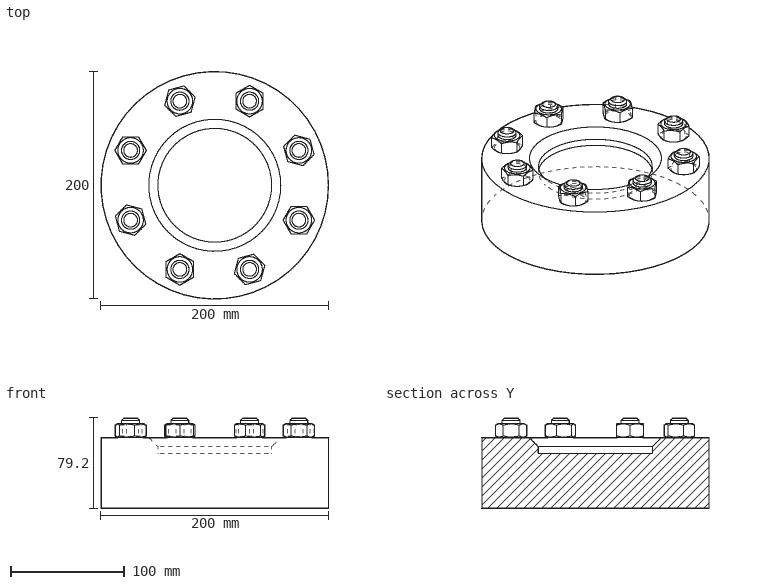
import cadquery as cq
import math

body_diameter = 200.0
total_height = 79.2
stud_projection = 17.0
body_height = total_height - stud_projection

recess_diameter = 100.0
recess_cone_depth = 8.0
recess_wall_depth = 6.0

bolt_count = 8
bolt_circle_radius = 80.0
bolt_spacing = 360 / bolt_count
first_bolt_angle = bolt_spacing / 2
nut_corner_offset = 22.5

stud_diameter = 16.0
stud_chamfer = 2.0

nut_across_flats = 24.0
nut_across_corners = nut_across_flats / math.cos(math.radians(30))
nut_height = 12.5
nut_face_diameter = 22.5
nut_chamfer_angle = 30


def make_body():
    recess_radius = recess_diameter / 2
    cone_bottom = body_height - recess_cone_depth
    floor = cone_bottom - recess_wall_depth
    half_section = [
        (0, 0),
        (body_diameter / 2, 0),
        (body_diameter / 2, body_height),
        (recess_radius + recess_cone_depth, body_height),
        (recess_radius, cone_bottom),
        (recess_radius, floor),
        (0, floor),
    ]
    return cq.Workplane("XZ").polyline(half_section).close().revolve(360, (0, 0), (0, 1))


def make_nut():
    """Hexagonal nut with both end faces turned down at the corners."""
    hexagon = cq.Workplane("XY").polygon(6, nut_across_corners).extrude(nut_height)
    face_radius = nut_face_diameter / 2
    corner_radius = nut_across_corners / 2
    corner_drop = (corner_radius - face_radius) * math.tan(math.radians(nut_chamfer_angle))
    turned_section = [
        (0, 0),
        (face_radius, 0),
        (corner_radius, corner_drop),
        (corner_radius, nut_height - corner_drop),
        (face_radius, nut_height),
        (0, nut_height),
    ]
    turned = cq.Workplane("XZ").polyline(turned_section).close().revolve(360, (0, 0), (0, 1))
    return hexagon.intersect(turned)


def make_bolt():
    """Nut with the chamfered stud end, standing on the XY plane."""
    stud = cq.Workplane("XY").circle(stud_diameter / 2).extrude(stud_projection)
    stud = stud.faces(">Z").chamfer(stud_chamfer)
    return make_nut().union(stud)


result = make_body()

bolt = make_bolt().rotate((0, 0, 0), (0, 0, 1), nut_corner_offset)
bolt = bolt.translate((bolt_circle_radius, 0, body_height))
for index in range(bolt_count):
    bolt_angle = first_bolt_angle + index * bolt_spacing
    result = result.union(bolt.rotate((0, 0, 0), (0, 0, 1), bolt_angle))